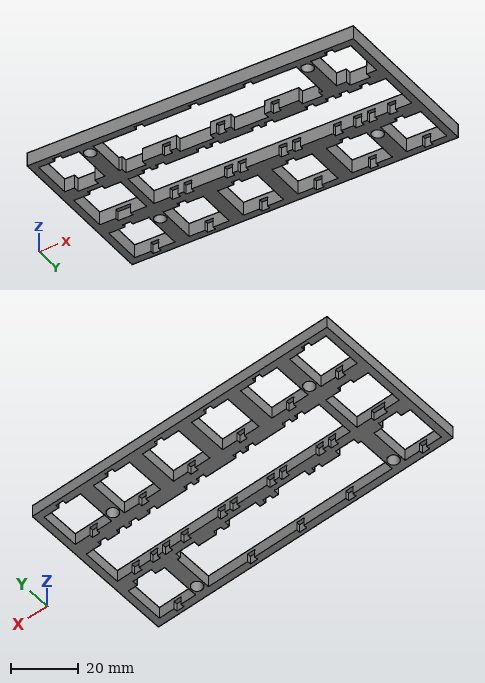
import cadquery as cq

plate_length = 114.3
plate_width = 57.2
plate_thickness = 4.8
key_columns = 6
pitch = plate_length / key_columns

switch_size = 14.1
lip_thickness = 1.5
notch_width = 2.7
notch_depth = 1.3

stabilizer_width = 7.1
stabilizer_reach = 2.0
two_unit_offset = 11.9
six_unit_offset = 2.5 * pitch

screw_hole_diameter = 4.0
screw_column_offset = 2.0 * pitch
screw_row_upper = 0.75 * pitch
screw_row_lower = -1.25 * pitch

top_row = pitch
middle_row = 0.0
bottom_row = -pitch

top_keys = [0.5, 1.5, 2.5, 3.5, 4.5, 5.5]
middle_left_keys = [0.5, 0.625]
middle_right_keys = [1.5, 1.75, 2.5, 2.75, 3.5, 3.75, 4.5, 4.875, 5.125, 5.5]
bottom_end_keys = [0.5, 5.5]
bottom_wide_keys = [2.0, 3.0, 4.0]
bottom_opening_ends = [1.5, 4.5]


def column_x(key_units):
    """X of a point given in key units from the left edge."""
    return (key_units - key_columns / 2) * pitch


def box_cut(x_min, x_max, y_min, y_max, height):
    """Box standing on the underside of the plate."""
    return (
        cq.Workplane("XY")
        .box(x_max - x_min, y_max - y_min, height, centered=False)
        .translate((x_min, y_min, 0))
    )


def switch_opening(first_key, last_key, row_y):
    """Through opening reaching from one key position to another in a row."""
    half = switch_size / 2
    x_min = column_x(first_key) - half
    x_max = column_x(last_key) + half
    return box_cut(x_min, x_max, row_y - half, row_y + half, plate_thickness)


def clip_notches(key, row_y):
    """Notches below the lip in both long walls at one key position."""
    x = column_x(key)
    reach = switch_size / 2 + notch_depth
    return box_cut(
        x - notch_width / 2,
        x + notch_width / 2,
        row_y - reach,
        row_y + reach,
        plate_thickness - lip_thickness,
    )


def stabilizer_slot(x):
    """Through slot that extends a bottom row opening toward the middle row."""
    return box_cut(
        x - stabilizer_width / 2,
        x + stabilizer_width / 2,
        bottom_row,
        bottom_row + switch_size / 2 + stabilizer_reach,
        plate_thickness,
    )


result = cq.Workplane("XY").box(plate_length, plate_width, plate_thickness, centered=(True, True, False))

for key in top_keys:
    result = result.cut(switch_opening(key, key, top_row))
for key in bottom_end_keys:
    result = result.cut(switch_opening(key, key, bottom_row))
result = result.cut(switch_opening(middle_left_keys[0], middle_left_keys[-1], middle_row))
result = result.cut(switch_opening(middle_right_keys[0], middle_right_keys[-1], middle_row))
result = result.cut(switch_opening(bottom_opening_ends[0], bottom_opening_ends[-1], bottom_row))

for key in top_keys:
    result = result.cut(clip_notches(key, top_row))
for key in middle_left_keys + middle_right_keys:
    result = result.cut(clip_notches(key, middle_row))
for key in bottom_end_keys + bottom_wide_keys:
    result = result.cut(clip_notches(key, bottom_row))

for key in bottom_wide_keys:
    for side in (-1, 1):
        result = result.cut(stabilizer_slot(column_x(key) + side * two_unit_offset))
for side in (-1, 1):
    result = result.cut(stabilizer_slot(side * six_unit_offset))

screw_points = [
    (side * screw_column_offset, y) for side in (-1, 1) for y in (screw_row_upper, screw_row_lower)
]
result = (
    result.faces(">Z")
    .workplane(origin=(0, 0, plate_thickness))
    .pushPoints(screw_points)
    .hole(screw_hole_diameter)
)